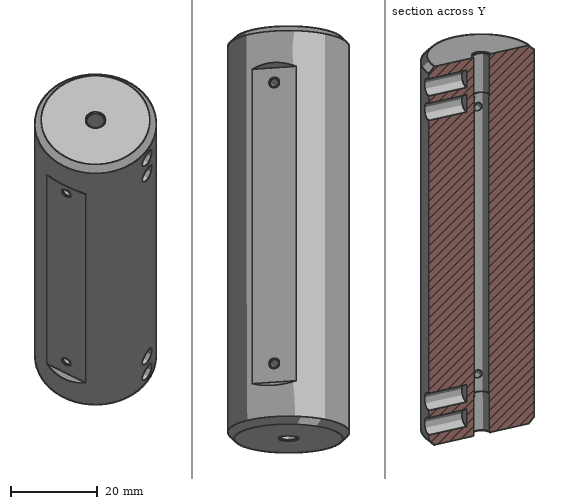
import cadquery as cq

body_diameter = 28.0
body_length = 95.0
end_chamfer = 1.5

flat_depth = 1.0
flat_length = 75.0
flat_end_run = 1.0

cross_hole_diameter = 2.0
cross_hole_mouth_diameter = 2.5
cross_hole_spacing = 67.0
cross_hole_centre = 48.0

bore_diameter = 3.7
bore_end_diameter = 4.0
bore_end_depth = 10.0
bore_mouth_diameter = 4.6

side_hole_diameter = 4.2
side_hole_depth = 10.0
side_hole_offsets = (36.35, 42.5)

body_radius = body_diameter / 2
mid_height = body_length / 2
flat_offset = body_radius - flat_depth

along_y = cq.Vector(0, 1, 0)
along_z = cq.Vector(0, 0, 1)


def make_body():
    blank = cq.Workplane("XY").circle(body_radius).extrude(body_length)
    return blank.faces("<Z or >Z").chamfer(end_chamfer)


def flat_cutter(side):
    """Trapezoidal prism, longer at its outer face, for the flat on the -Y (-1) or +Y (+1) side."""
    half_floor = flat_length / 2
    half_rim = half_floor + flat_end_run
    return (
        cq.Workplane("YZ")
        .moveTo(side * flat_offset, mid_height - half_floor)
        .lineTo(side * body_radius, mid_height - half_rim)
        .lineTo(side * body_radius, mid_height + half_rim)
        .lineTo(side * flat_offset, mid_height + half_floor)
        .close()
        .extrude(body_radius, both=True)
    )


def cylinder(diameter, length, start, direction):
    return cq.Workplane(obj=cq.Solid.makeCylinder(diameter / 2, length, start, direction))


def conical_mouth(mouth_diameter, hole_diameter, start, direction):
    """45 degree cone narrowing from the mouth to the hole."""
    depth = (mouth_diameter - hole_diameter) / 2
    cone = cq.Solid.makeCone(mouth_diameter / 2, hole_diameter / 2, depth, start, direction)
    return cq.Workplane(obj=cone)


def cut_cross_hole(part, height):
    near = cq.Vector(0, -flat_offset, height)
    far = cq.Vector(0, flat_offset, height)
    part = part.cut(cylinder(cross_hole_diameter, 2 * flat_offset, near, along_y))
    for start, inward in ((near, along_y), (far, -along_y)):
        part = part.cut(conical_mouth(cross_hole_mouth_diameter, cross_hole_diameter, start, inward))
    return part


def cut_axial_bore(part):
    bottom = cq.Vector(0, 0, 0)
    top = cq.Vector(0, 0, body_length)
    part = part.cut(cylinder(bore_diameter, body_length, bottom, along_z))
    for start, inward in ((bottom, along_z), (top, -along_z)):
        part = part.cut(cylinder(bore_end_diameter, bore_end_depth, start, inward))
        part = part.cut(conical_mouth(bore_mouth_diameter, bore_end_diameter, start, inward))
    return part


def cut_side_hole(part, height):
    entry = cq.Vector(body_radius, 0, height)
    return part.cut(cylinder(side_hole_diameter, side_hole_depth, entry, cq.Vector(-1, 0, 0)))


result = make_body()

for side in (-1, 1):
    result = result.cut(flat_cutter(side))
    result = cut_cross_hole(result, cross_hole_centre + side * cross_hole_spacing / 2)
    for offset in side_hole_offsets:
        result = cut_side_hole(result, mid_height + side * offset)

result = cut_axial_bore(result)